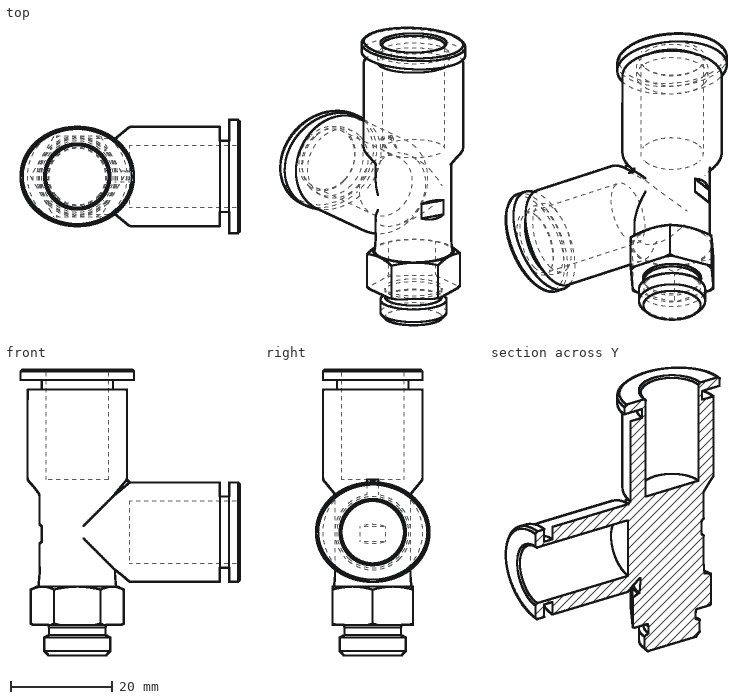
import cadquery as cq
import math

total_height = 56.65
total_length = 43.45
flange_long_radius = 22.5 / 2
flange_short_radius = 19.7 / 2
arm_length = total_length - flange_long_radius
branch_z = total_height - arm_length

neck_radius = 7.5
body_radius = 9.85
cone_start = 7.5
cone_end = 10.35
body_end = 28.2
cone_blend = 0.9
body_rim_round = 0.15

sleeve_radius = 7.1
flange_thickness = 2.15
flange_chamfer = 0.45
bore_radius = 6.2
bore_chamfer = 0.4
bore_depth = arm_length - cone_end

hex_flats = 16.0
hex_corner_radius = hex_flats / 2 / math.cos(math.pi / 6)
hex_bottom = 6.1
hex_top = 13.65
hex_top_chamfer = 0.55
hex_bottom_chamfer = 0.2
hex_bottom_chamfer_radius = 8.8
skirt_top = 16.2
skirt_radius = 7.7

plug_radius = 6.55
plug_tip_radius = 5.65
plug_chamfer_top = 0.95
plug_shoulder_bottom = 3.55
plug_shoulder_top = 4.1
groove_radius = 5.6
groove_flare_radius = 5.8
groove_flare_height = 0.5

recess_z = 24.1
recess_flat_height = 2.95
recess_depth = 0.45

web_width = 2.25


def revolved(profile):
    """Revolve (radius, z) points around the Z axis."""
    return cq.Workplane("XZ").polyline(profile).close().revolve(360, (0, 0), (0, 1))


def arm():
    """Arm along +Z, starting at the axis crossing, with the flange long side along X."""
    body = revolved([
        (0, 0),
        (neck_radius, 0),
        (neck_radius, cone_start),
        (body_radius, cone_end),
        (body_radius, body_end),
        (0, body_end),
    ])
    body = body.faces("%CONE").edges("%CIRCLE").fillet(cone_blend)
    body = body.faces(">Z").edges().fillet(body_rim_round)
    sleeve = (
        cq.Workplane("XY").workplane(offset=body_end)
        .circle(sleeve_radius).extrude(arm_length - body_end)
    )
    flange = (
        cq.Workplane("XY").workplane(offset=arm_length - flange_thickness)
        .ellipse(flange_long_radius, flange_short_radius).extrude(flange_thickness)
        .faces(">Z").edges().chamfer(flange_chamfer)
    )
    return body.union(sleeve).union(flange)


def arm_bore():
    """Blind tube socket with a chamfered mouth, for an arm along +Z."""
    return revolved([
        (0, arm_length - bore_depth),
        (bore_radius, arm_length - bore_depth),
        (bore_radius, arm_length - bore_chamfer),
        (bore_radius + bore_chamfer, arm_length),
        (0, arm_length),
    ])


def upright(shape):
    return shape.translate((0, 0, branch_z))


def sideways(shape):
    """Turn an arm to +X, its flange long side along Y."""
    turned = shape.rotate((0, 0, 0), (0, 0, 1), 90).rotate((0, 0, 0), (0, 1, 0), 90)
    return turned.translate((0, 0, branch_z))


def stem():
    """Plug, groove, flared skirt and the plain neck up to the axis crossing."""
    return revolved([
        (0, 0),
        (plug_tip_radius, 0),
        (plug_radius, plug_chamfer_top),
        (plug_radius, plug_shoulder_bottom),
        (groove_radius, plug_shoulder_top),
        (groove_radius, hex_bottom - groove_flare_height),
        (groove_flare_radius, hex_bottom),
        (skirt_radius, hex_bottom),
        (skirt_radius, hex_top),
        (neck_radius, skirt_top),
        (neck_radius, branch_z),
        (0, branch_z),
    ])


def hex_nut():
    """Hexagon with corners on X, its corners turned down at both ends."""
    prism = (
        cq.Workplane("XY").workplane(offset=hex_bottom)
        .polygon(6, 2 * hex_corner_radius).extrude(hex_top - hex_bottom)
    )
    envelope = revolved([
        (0, hex_bottom),
        (hex_bottom_chamfer_radius, hex_bottom),
        (hex_corner_radius, hex_bottom + hex_bottom_chamfer),
        (hex_corner_radius, hex_top - hex_top_chamfer),
        (hex_flats / 2, hex_top),
        (0, hex_top),
    ])
    return prism.intersect(envelope)


def recess():
    """Flat-bottomed notch with 45 degree ends, cut across the -X side of the neck."""
    flat_x = recess_depth - neck_radius
    half_flat = recess_flat_height / 2
    half_mouth = half_flat + recess_depth
    return (
        cq.Workplane("XZ").polyline([
            (flat_x, recess_z - half_flat),
            (-neck_radius, recess_z - half_mouth),
            (-neck_radius, recess_z + half_mouth),
            (flat_x, recess_z + half_flat),
        ]).close().extrude(neck_radius, both=True)
    )


def web():
    """Triangular plate in the XZ plane, from the axis crossing to the ends of both cones."""
    return (
        cq.Workplane("XZ").polyline([
            (0, branch_z),
            (body_radius, branch_z + cone_end),
            (cone_end, branch_z + body_radius),
        ]).close().extrude(web_width / 2, both=True)
    )


outside = stem().union(hex_nut()).union(upright(arm())).union(sideways(arm())).union(web())
result = outside.cut(recess()).cut(upright(arm_bore())).cut(sideways(arm_bore()))